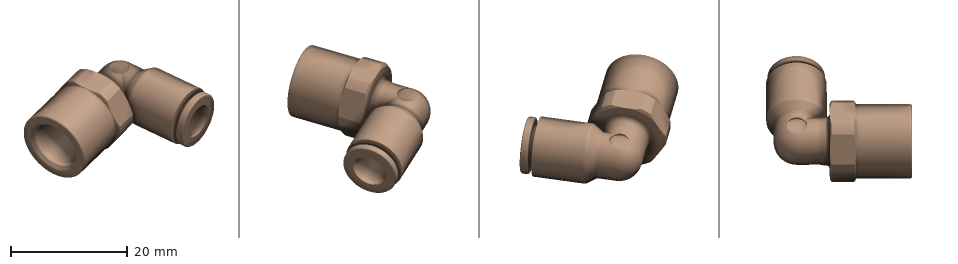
import cadquery as cq
import math


ELBOW_RADIUS = 4.0
PASSAGE_RADIUS = 3.0
BADGE_RADIUS = 1.78
BADGE_FLOOR_Z = 3.6

NECK_TAPER_START = 3.93
NECK_TAPER_END = 4.75
NECK_RADIUS = 4.15
NECK_FILLET = 0.63
HEX_START = 5.65
HEX_LENGTH = 4.5
HEX_ACROSS_FLATS = 13.0
HEX_CORNER_RADIUS = 7.01
HEX_CHAMFER_LENGTH = 0.3
SPIGOT_RADIUS = 6.41
SPIGOT_END = 19.81
SPIGOT_FILLET = 0.33
BORE_RADIUS = 4.25
BORE_CHAMFER = 0.6

HEX_END = HEX_START + HEX_LENGTH
HEX_SIDES = 6
HEX_INRADIUS = HEX_ACROSS_FLATS / 2
HEX_POINT_DIAMETER = HEX_ACROSS_FLATS / math.cos(math.pi / HEX_SIDES)
SPIGOT_LENGTH = SPIGOT_END - HEX_END

ARM_FLARE_START = 3.35
COLLAR_START = 5.19
COLLAR_END = 14.4
COLLAR_RADIUS = 5.24
FLARE_INNER_FILLET = 0.63
FLARE_OUTER_FILLET = 0.75
RELEASE_NECK_RADIUS = 3.6
RELEASE_RING_START = 15.23
RELEASE_RING_RADIUS = 4.95
RELEASE_RING_FILLET = 0.28
ARM_END = 16.53


def stem_cylinder(radius, start, length):
    """Cylinder on the stem axis, running toward -Y from the given distance."""
    return cq.Workplane("XZ", origin=(0, -start, 0)).circle(radius).extrude(length)


def arm_cylinder(radius, start, end):
    """Cylinder on the arm axis between two distances along +X."""
    return cq.Workplane("YZ", origin=(start, 0, 0)).circle(radius).extrude(end - start)


def revolve_about_stem(profile):
    """Revolve a profile drawn in the XY plane about the stem axis."""
    return profile.close().revolve(360, (0, 0, 0), (0, 1, 0))


def make_neck():
    """Stem of the elbow: cylinder, slight taper, then a concave flare onto the hexagon."""
    fillet_start = HEX_START - NECK_FILLET
    flare_radius = NECK_RADIUS + NECK_FILLET
    arc_offset = NECK_FILLET * math.sqrt(0.5)
    profile = (
        cq.Workplane("XY")
        .lineTo(ELBOW_RADIUS, 0)
        .lineTo(ELBOW_RADIUS, -NECK_TAPER_START)
        .lineTo(NECK_RADIUS, -NECK_TAPER_END)
        .lineTo(NECK_RADIUS, -fillet_start)
        .threePointArc(
            (flare_radius - arc_offset, -fillet_start - arc_offset),
            (flare_radius, -HEX_START),
        )
        .lineTo(0, -HEX_START)
    )
    return revolve_about_stem(profile)


def make_hexagon():
    """Hexagon with flats facing +Z and -Z, its corners rounded and both ends chamfered."""
    prism = (
        cq.Workplane("XZ", origin=(0, -HEX_START, 0))
        .polygon(HEX_SIDES, HEX_POINT_DIAMETER)
        .extrude(HEX_LENGTH)
    )
    envelope = revolve_about_stem(
        cq.Workplane("XY")
        .moveTo(0, -HEX_START)
        .lineTo(HEX_INRADIUS, -HEX_START)
        .lineTo(HEX_CORNER_RADIUS, -HEX_START - HEX_CHAMFER_LENGTH)
        .lineTo(HEX_CORNER_RADIUS, -HEX_END + HEX_CHAMFER_LENGTH)
        .lineTo(HEX_INRADIUS, -HEX_END)
        .lineTo(0, -HEX_END)
    )
    return prism.intersect(envelope)


def make_spigot():
    """Plain cylinder below the hexagon with a rounded end."""
    return stem_cylinder(SPIGOT_RADIUS, HEX_END, SPIGOT_LENGTH).faces("<Y").edges().fillet(SPIGOT_FILLET)


def make_arm():
    """Tube arm: cylinder and conical flare into the collar, with blended edges."""
    arm = (
        cq.Workplane("XY")
        .lineTo(0, ELBOW_RADIUS)
        .lineTo(ARM_FLARE_START, ELBOW_RADIUS)
        .lineTo(COLLAR_START, COLLAR_RADIUS)
        .lineTo(COLLAR_END, COLLAR_RADIUS)
        .lineTo(COLLAR_END, 0)
        .close()
        .revolve(360, (0, 0, 0), (1, 0, 0))
    )
    flare_inner_edge = cq.selectors.RadiusNthSelector(0)
    flare_outer_edge = cq.selectors.RadiusNthSelector(-1)
    arm = arm.faces("%CONE").edges(flare_outer_edge).fillet(FLARE_OUTER_FILLET)
    return arm.faces("%CONE").edges(flare_inner_edge).fillet(FLARE_INNER_FILLET)


def make_release_ring():
    """Release ring standing off the collar on a narrower neck."""
    ring = arm_cylinder(RELEASE_RING_RADIUS, RELEASE_RING_START, ARM_END)
    ring = ring.edges("%CIRCLE").fillet(RELEASE_RING_FILLET)
    return arm_cylinder(RELEASE_NECK_RADIUS, COLLAR_END, RELEASE_RING_START).union(ring)


def make_passage():
    """Bent flow passage with a rounded outer bend and a wider chamfered bore in the spigot."""
    bend = cq.Workplane("XY").sphere(PASSAGE_RADIUS)
    stem_passage = stem_cylinder(PASSAGE_RADIUS, 0, SPIGOT_END)
    arm_passage = arm_cylinder(PASSAGE_RADIUS, 0, ARM_END)
    bore = revolve_about_stem(
        cq.Workplane("XY")
        .moveTo(0, -HEX_END)
        .lineTo(BORE_RADIUS, -HEX_END)
        .lineTo(BORE_RADIUS, -SPIGOT_END + BORE_CHAMFER)
        .lineTo(BORE_RADIUS + BORE_CHAMFER, -SPIGOT_END)
        .lineTo(0, -SPIGOT_END)
    )
    return stem_passage.union(arm_passage).union(bend).union(bore)


def make_badge_recess():
    """Shallow round recess on the top of the elbow."""
    return (
        cq.Workplane("XY", origin=(0, 0, BADGE_FLOOR_Z))
        .circle(BADGE_RADIUS)
        .extrude(ELBOW_RADIUS - BADGE_FLOOR_Z)
    )


body = cq.Workplane("XY").sphere(ELBOW_RADIUS)
for section in (make_neck(), make_arm(), make_hexagon(), make_spigot(), make_release_ring()):
    body = body.union(section)

result = body.cut(make_passage()).cut(make_badge_recess())